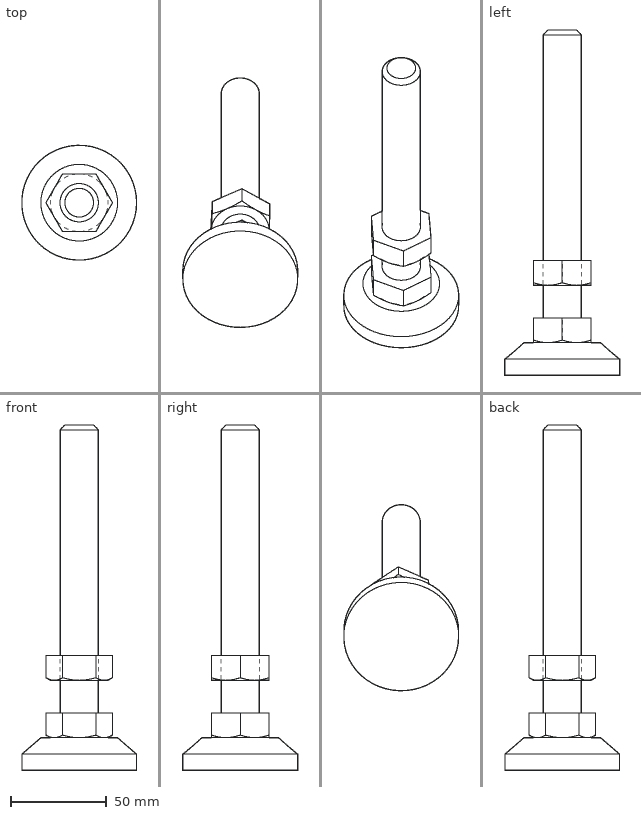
import cadquery as cq
import math

total_height = 180.0

foot_diameter = 60.0
foot_top_diameter = 40.0
foot_rim_height = 8.5
foot_height = 17.1

stud_diameter = 20.0
stud_tip_diameter = 15.0
stud_chamfer_height = 2.5

hex_across_flats = 30.0
hex_height = 13.0
hex_chamfer_angle = 30.0
hex_face_diameter = 30.0
nut_top_z = 60.0

hex_across_corners = hex_across_flats / math.cos(math.radians(30))
nut_bottom_z = nut_top_z - hex_height


def make_foot():
    """Round foot with a cylindrical rim and a conical shoulder."""
    profile = [
        (0, 0),
        (foot_diameter / 2, 0),
        (foot_diameter / 2, foot_rim_height),
        (foot_top_diameter / 2, foot_height),
        (0, foot_height),
    ]
    return cq.Workplane("XZ").polyline(profile).close().revolve(360, (0, 0), (0, 1))


def make_hexagon(bottom_z):
    """Hexagonal prism with corners on X, its lower corners trimmed by a cone."""
    prism = cq.Workplane("XY").polygon(6, hex_across_corners).extrude(hex_height)
    face_radius = hex_face_diameter / 2
    corner_radius = hex_across_corners / 2
    chamfer_height = (corner_radius - face_radius) * math.tan(math.radians(hex_chamfer_angle))
    trim_profile = [
        (0, 0),
        (face_radius, 0),
        (corner_radius, chamfer_height),
        (corner_radius, hex_height),
        (0, hex_height),
    ]
    trim = cq.Workplane("XZ").polyline(trim_profile).close().revolve(360, (0, 0), (0, 1))
    return prism.intersect(trim).translate((0, 0, bottom_z))


def make_stud():
    """Stud standing on the foot, with a hex collar at its base and a chamfered tip."""
    profile = [
        (0, foot_height),
        (stud_diameter / 2, foot_height),
        (stud_diameter / 2, total_height - stud_chamfer_height),
        (stud_tip_diameter / 2, total_height),
        (0, total_height),
    ]
    shank = cq.Workplane("XZ").polyline(profile).close().revolve(360, (0, 0), (0, 1))
    return shank.union(make_hexagon(foot_height))


def make_lock_nut():
    """Hexagonal nut bored to fit the shank."""
    bore = cq.Workplane("XY").workplane(offset=nut_bottom_z).circle(stud_diameter / 2).extrude(hex_height)
    return make_hexagon(nut_bottom_z).cut(bore)


foot = make_foot()
stud = make_stud()
lock_nut = make_lock_nut()

result = cq.Compound.makeCompound([foot.val(), stud.val(), lock_nut.val()])